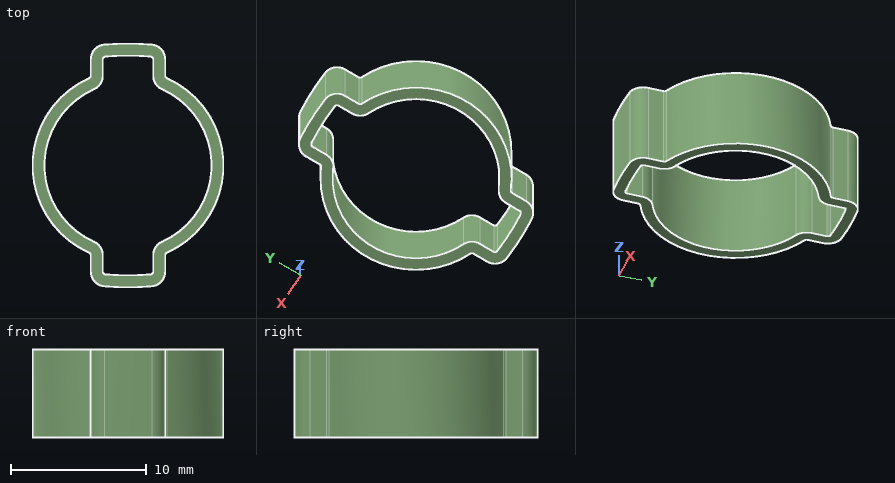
import cadquery as cq
import math

BAND_HEIGHT = 6.5
BAND_OUTER_RADIUS = 7.05
WALL = 0.9
EAR_OUTER_WIDTH = 5.5
OVERALL_LENGTH = 17.99
CAP_OUTER_RADIUS = 20.0
TIGHT_BEND_RADIUS = 0.2

WIDE_BEND_RADIUS = TIGHT_BEND_RADIUS + WALL

NECK_X = EAR_OUTER_WIDTH / 2 + TIGHT_BEND_RADIUS
NECK_Y = math.sqrt((BAND_OUTER_RADIUS + TIGHT_BEND_RADIUS) ** 2 - NECK_X ** 2)
CAP_Y = OVERALL_LENGTH / 2 - CAP_OUTER_RADIUS
CORNER_X = EAR_OUTER_WIDTH / 2 - WIDE_BEND_RADIUS
CORNER_Y = CAP_Y + math.sqrt((CAP_OUTER_RADIUS - WIDE_BEND_RADIUS) ** 2 - CORNER_X ** 2)

NECK_ANGLE = math.atan2(NECK_Y, NECK_X)
CAP_ANGLE = math.atan2(CORNER_Y - CAP_Y, CORNER_X)


def polar(center, radius, angle):
    """Point at a given radius and angle from a centre."""
    return (center[0] + radius * math.cos(angle), center[1] + radius * math.sin(angle))


def clamp_profile(inset):
    """Closed outline of the round band with two ears, set inward by `inset`."""
    band_radius = BAND_OUTER_RADIUS - inset
    neck_radius = TIGHT_BEND_RADIUS + inset
    corner_radius = WIDE_BEND_RADIUS - inset
    cap_radius = CAP_OUTER_RADIUS - inset
    ear_half_width = EAR_OUTER_WIDTH / 2 - inset

    origin = (0, 0)
    neck = (NECK_X, NECK_Y)
    corner = (CORNER_X, CORNER_Y)
    cap = (0, CAP_Y)

    band_start = (band_radius, 0)
    band_middle = polar(origin, band_radius, NECK_ANGLE / 2)
    band_end = polar(origin, band_radius, NECK_ANGLE)
    neck_middle = polar(neck, neck_radius, math.pi + NECK_ANGLE / 2)
    neck_end = (ear_half_width, NECK_Y)
    side_end = (ear_half_width, CORNER_Y)
    corner_middle = polar(corner, corner_radius, CAP_ANGLE / 2)
    corner_end = polar(cap, cap_radius, CAP_ANGLE)
    cap_top = (0, CAP_Y + cap_radius)

    def flip_x(point):
        return (-point[0], point[1])

    def ear_half(sketch, side):
        """Half of the outline, from one side of the band over an ear to the other.

        A `side` of 1 runs over the +Y ear and -1 runs back over the -Y ear.
        """
        def at(point):
            return (side * point[0], side * point[1])

        return (
            sketch
            .threePointArc(at(band_middle), at(band_end))
            .threePointArc(at(neck_middle), at(neck_end))
            .lineTo(*at(side_end))
            .threePointArc(at(corner_middle), at(corner_end))
            .threePointArc(at(cap_top), at(flip_x(corner_end)))
            .threePointArc(at(flip_x(corner_middle)), at(flip_x(side_end)))
            .lineTo(*at(flip_x(neck_end)))
            .threePointArc(at(flip_x(neck_middle)), at(flip_x(band_end)))
            .threePointArc(at(flip_x(band_middle)), at(flip_x(band_start)))
        )

    outline = cq.Workplane("XY", origin=(0, 0, -BAND_HEIGHT / 2)).moveTo(*band_start)
    outline = ear_half(outline, 1)
    outline = ear_half(outline, -1)
    return outline.close()


def clamp_body(inset):
    """Full-height prism of the outline, centred on Z = 0."""
    return clamp_profile(inset).extrude(BAND_HEIGHT)


result = clamp_body(0).cut(clamp_body(WALL))